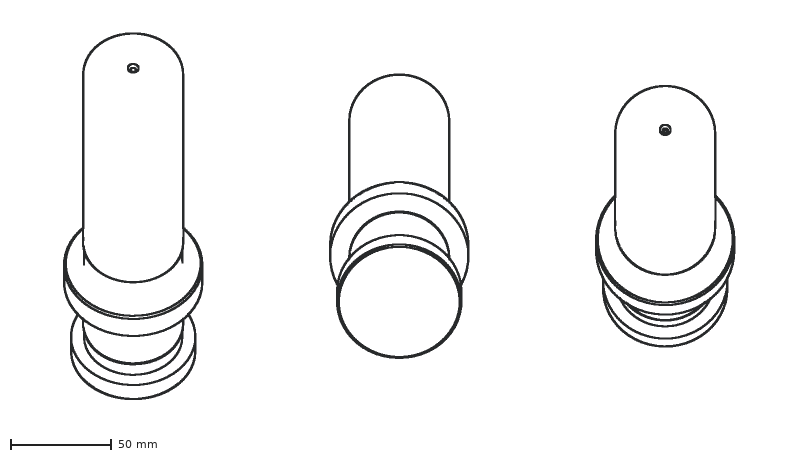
import cadquery as cq

total_height = 225.0
pin_radius = 25.0

flange_radius = 31.0
flange_height = 12.2
flange_chamfer = 1.0
neck_radius = 24.5
retainer_height = 20.5

pin_end_chamfer_height = 1.4
pin_end_chamfer_width = 0.7
collar_radius = 34.54
collar_bottom = 55.4
collar_top = 70.2
collar_chamfer_height = 1.4
collar_chamfer_width = 1.0
relief_radius = 24.5
relief_taper = 0.7
lower_relief_height = 1.8
upper_relief_height = 16.0
root_fillet = 1.0
tip_fillet = 5.0

countersink_radius = 2.7
pilot_radius = 1.4
countersink_depth = countersink_radius - pilot_radius
pilot_depth = 4.5
pilot_point_height = 1.0

upper_relief_end = collar_top + upper_relief_height
lower_relief_start = collar_bottom - lower_relief_height


def revolve_about_z(profile):
    """Revolve a closed (radius, height) profile around the Z axis."""
    return profile.close().revolve(360, (0, 0, 0), (0, 1, 0))


def make_retainer():
    profile = (
        cq.Workplane("XZ")
        .lineTo(flange_radius - flange_chamfer, 0)
        .lineTo(flange_radius, flange_chamfer)
        .lineTo(flange_radius, flange_height)
        .lineTo(neck_radius, flange_height)
        .lineTo(neck_radius, retainer_height)
        .lineTo(0, retainer_height)
    )
    return revolve_about_z(profile)


def make_centre_hole():
    """Countersunk pilot hole with a conical end, as a cutting body."""
    profile = (
        cq.Workplane("XZ")
        .moveTo(0, total_height)
        .lineTo(countersink_radius, total_height)
        .lineTo(pilot_radius, total_height - countersink_depth)
        .lineTo(pilot_radius, total_height - pilot_depth)
        .lineTo(0, total_height - pilot_depth - pilot_point_height)
    )
    return revolve_about_z(profile)


def make_pin():
    profile = (
        cq.Workplane("XZ")
        .moveTo(0, retainer_height)
        .lineTo(pin_radius - pin_end_chamfer_width, retainer_height)
        .lineTo(pin_radius, retainer_height + pin_end_chamfer_height)
        .lineTo(pin_radius, lower_relief_start)
        .lineTo(relief_radius, lower_relief_start + relief_taper)
        .lineTo(relief_radius, collar_bottom)
        .lineTo(collar_radius, collar_bottom)
        .lineTo(collar_radius, collar_top - collar_chamfer_height)
        .lineTo(collar_radius - collar_chamfer_width, collar_top)
        .lineTo(relief_radius + root_fillet, collar_top)
        .radiusArc((relief_radius, collar_top + root_fillet), root_fillet)
        .lineTo(relief_radius, upper_relief_end - relief_taper)
        .lineTo(pin_radius, upper_relief_end)
        .lineTo(pin_radius, total_height - tip_fillet)
        .radiusArc((pin_radius - tip_fillet, total_height), -tip_fillet)
        .lineTo(0, total_height)
    )
    return revolve_about_z(profile).cut(make_centre_hole())


retainer = make_retainer()
pin = make_pin()

result = cq.Compound.makeCompound([retainer.val(), pin.val()])